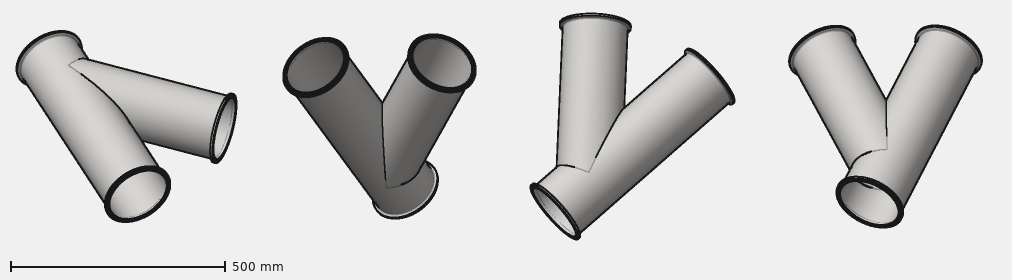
import cadquery as cq
import math

run_length = 495.5
apex_to_near_end = 108.0
branch_length = 388.5
branch_angle = 45.0

tube_radius = 152.5 / 2
bore_radius = 147.0 / 2

flange_radius = 167.0 / 2
rim_width = 5.5
flange_taper_angle = 20.0
neck_fillet_radius = 1.5

groove_mean_radius = 78.5
groove_radius = 1.5

taper_width = (flange_radius - tube_radius) * math.tan(math.radians(flange_taper_angle))
neck_height = rim_width + taper_width

near_end_x = -run_length / 2
far_end_x = run_length / 2
apex_x = near_end_x + apex_to_near_end

branch_x = math.cos(math.radians(branch_angle))
branch_y = math.sin(math.radians(branch_angle))


def end_plane(origin, inward):
    """Plane on an end face, with its normal pointing into the tube."""
    return cq.Plane(origin=origin, xDir=(0, 0, 1), normal=inward)


def cylinder(plane, radius, length):
    return cq.Workplane(plane).circle(radius).extrude(length)


def revolve_about_normal(plane, profile):
    """Revolve a profile of (radius, height) about the plane's normal."""
    solid = profile.revolve(360, (0, 0, 0), (0, 1, 0))
    upright = solid.rotate((0, 0, 0), (1, 0, 0), 90).val()
    return cq.Workplane(obj=upright.moved(cq.Location(plane)))


def flange(plane):
    """Solid flange with a straight rim and a tapered back blended into the tube."""
    taper = math.radians(flange_taper_angle)
    fillet_turn = math.pi / 2 - taper
    tangent_length = neck_fillet_radius * math.tan(fillet_turn / 2)
    fillet_start = (
        tube_radius + tangent_length * math.cos(taper),
        neck_height - tangent_length * math.sin(taper),
    )
    fillet_end = (tube_radius, neck_height + tangent_length)
    fillet_center = (tube_radius + neck_fillet_radius, fillet_end[1])
    middle_angle = math.pi + fillet_turn / 2
    fillet_middle = (
        fillet_center[0] + neck_fillet_radius * math.cos(middle_angle),
        fillet_center[1] + neck_fillet_radius * math.sin(middle_angle),
    )
    profile = (
        cq.Workplane("XY")
        .lineTo(flange_radius, 0)
        .lineTo(flange_radius, rim_width)
        .lineTo(*fillet_start)
        .threePointArc(fillet_middle, fillet_end)
        .lineTo(0, fillet_end[1])
        .close()
    )
    return revolve_about_normal(plane, profile)


def gasket_groove(plane):
    """Ring-shaped cutter for the gasket groove."""
    profile = (
        cq.Workplane("XY")
        .moveTo(groove_mean_radius - groove_radius, 0)
        .threePointArc(
            (groove_mean_radius, groove_radius),
            (groove_mean_radius + groove_radius, 0),
        )
        .close()
    )
    return revolve_about_normal(plane, profile)


near_end = end_plane((near_end_x, 0, 0), (1, 0, 0))
far_end = end_plane((far_end_x, 0, 0), (-1, 0, 0))
branch_end = end_plane(
    (apex_x + branch_length * branch_x, branch_length * branch_y, 0),
    (-branch_x, -branch_y, 0),
)

body = cylinder(near_end, tube_radius, run_length)
body = body.union(cylinder(branch_end, tube_radius, branch_length))
for plane in (near_end, far_end, branch_end):
    body = body.union(flange(plane))

body = body.cut(cylinder(near_end, bore_radius, run_length))
body = body.cut(cylinder(branch_end, bore_radius, branch_length))

for plane in (near_end, far_end, branch_end):
    body = body.cut(gasket_groove(plane))

result = cq.Workplane(obj=body.solids().val())